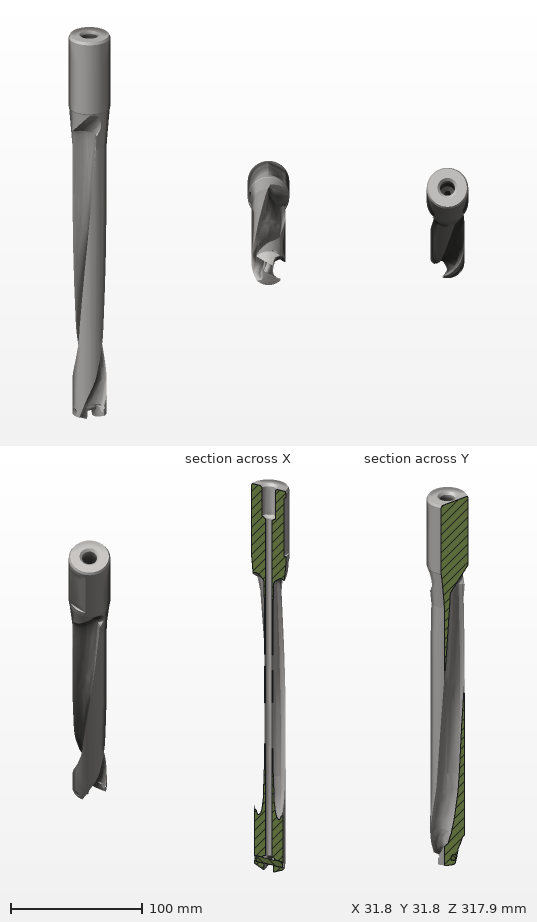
import cadquery as cq
import math


TOTAL_LENGTH = 317.87
SHANK_START = 258.5
TAPER_START = 227.4

SHANK_RADIUS = 31.75 / 2
SHANK_CHAMFER_WIDTH = 1.1
SHANK_CHAMFER_HEIGHT = 2.0
SHANK_EDGE_HEIGHT = 0.7
TAPER_TOP_RADIUS = 15.6
FLAT_DEPTH = 1.8
FLAT_START = 264.0
FLAT_END = 312.0

BODY_RADIUS = 13.15
POINT_ANGLE = 132.0
SLOT_WIDTH = 8.2
SLOT_TOP = 12.0
RELIEF_RADIUS = 1.2
POINT_SLOPE = 1 / math.tan(math.radians(POINT_ANGLE / 2))
POINT_APEX = -POINT_SLOPE * SLOT_WIDTH / 2

BORE_RADIUS = 11.5 / 2
BORE_DEPTH = 25.0
BORE_MOUTH_RADIUS = 15.2 / 2
DRILL_POINT_ANGLE = 118.0
COOLANT_RADIUS = 2.5

FLUTE_COUNT = 2
FLUTE_START = (-2.0, 92.0, 173.0)
FLUTE_STAGES = [
    [(12.0, 118.0, 200.0), (30.0, 151.0, 234.0)],
    [(39.0, 165.0, 249.0)],
    [(50.0, 175.5, 266.0), (62.0, 186.5, 278.5), (79.0, 195.0, 286.0)],
    [(132.0, 211.0, 307.0), (185.0, 227.0, 328.0), (239.0, 244.0, 346.0)],
]
FLUTE_END = FLUTE_STAGES[-1][-1]
FLUTE_OVERCUT = 4.0

TRAILING_LIP = (6.3, -7.4)
TRAILING_HOLLOW = (4.6, -4.2)
FLUTE_FLOOR = (4.0, -0.8)
LEADING_HOLLOW = (4.1, 4.5)
LEADING_WALL = (5.4, 7.9)
LEADING_LIP = (7.6, 9.3)

RUNOUT_LENGTH = 24.0
RUNOUT_SIDEWAYS = 0.95
RUNOUT_OUTWARD = 0.3

SCREW_RADIUS = 4.7 / 2
SCREW_HEIGHT = 8.2
SCREW_TILT = -6.0
SCREW_RECESS = 0.6
SOCKET_SIZE = 2.5
SOCKET_DEPTH = 2.0

EXTRA = 1.0


def holder_blank():
    """Revolved shank, taper, body and point; the slot walls make the point start at Z = 0."""
    corner = POINT_APEX + POINT_SLOPE * BODY_RADIUS
    outline = [
        (0, POINT_APEX),
        (-BODY_RADIUS, corner),
        (-BODY_RADIUS, TAPER_START),
        (-TAPER_TOP_RADIUS, SHANK_START - SHANK_EDGE_HEIGHT),
        (-SHANK_RADIUS, SHANK_START),
        (-SHANK_RADIUS, TOTAL_LENGTH - SHANK_CHAMFER_HEIGHT),
        (-SHANK_RADIUS + SHANK_CHAMFER_WIDTH, TOTAL_LENGTH),
        (0, TOTAL_LENGTH),
    ]
    return cq.Workplane("XZ").polyline(outline).close().revolve(360, (0, 0, 0), (0, 1, 0))


def shank_flat():
    depth = FLAT_DEPTH + EXTRA
    return (
        cq.Workplane("XY")
        .box(2 * SHANK_RADIUS, depth, FLAT_END - FLAT_START, centered=(True, False, False))
        .translate((0, SHANK_RADIUS - FLAT_DEPTH, FLAT_START))
    )


def bore():
    """Countersunk bore with a drill point that runs into the coolant hole, which ends in the slot."""
    bore_end = TOTAL_LENGTH - BORE_DEPTH
    point_height = (BORE_RADIUS - COOLANT_RADIUS) / math.tan(math.radians(DRILL_POINT_ANGLE / 2))
    mouth_depth = BORE_MOUTH_RADIUS - BORE_RADIUS
    outline = [
        (0, SLOT_TOP - EXTRA),
        (COOLANT_RADIUS, SLOT_TOP - EXTRA),
        (COOLANT_RADIUS, bore_end - point_height),
        (BORE_RADIUS, bore_end),
        (BORE_RADIUS, TOTAL_LENGTH - mouth_depth),
        (BORE_MOUTH_RADIUS, TOTAL_LENGTH),
        (0, TOTAL_LENGTH),
    ]
    return cq.Workplane("YZ").polyline(outline).close().revolve(360, (0, 0, 0), (0, 1, 0))


def flute_outline(height, trailing, leading):
    """Flute section opening outward: two hollows that meet at the floor, and a lip at each edge."""
    half_angle = math.radians(leading - trailing) / 2
    edge_x = BODY_RADIUS * math.cos(half_angle)
    edge_y = BODY_RADIUS * math.sin(half_angle)
    outer_x = SHANK_RADIUS + FLUTE_OVERCUT
    return (
        cq.Workplane("XY")
        .transformed(offset=(0, 0, height), rotate=(0, 0, (trailing + leading) / 2))
        .moveTo(outer_x, -edge_y)
        .lineTo(edge_x, -edge_y)
        .lineTo(*TRAILING_LIP)
        .threePointArc(TRAILING_HOLLOW, FLUTE_FLOOR)
        .threePointArc(LEADING_HOLLOW, LEADING_WALL)
        .lineTo(*LEADING_LIP)
        .lineTo(edge_x, edge_y)
        .lineTo(outer_x, edge_y)
        .close()
        .wire()
        .val()
    )


def flute_runout():
    """The top flute section carried upward along a slant until it leaves the holder."""
    height, trailing, leading = FLUTE_END
    turn = math.radians(trailing + leading) / 2
    outward = cq.Vector(math.cos(turn), math.sin(turn), 0)
    sideways = cq.Vector(-math.sin(turn), math.cos(turn), 0)
    slant = outward * RUNOUT_OUTWARD + sideways * RUNOUT_SIDEWAYS + cq.Vector(0, 0, 1)
    return cq.Solid.extrudeLinear(flute_outline(height, trailing, leading), [], slant * RUNOUT_LENGTH)


def cut_flutes(body):
    pieces = [flute_runout()]
    bottom = FLUTE_START
    for stage in FLUTE_STAGES:
        outlines = [flute_outline(*section) for section in [bottom] + stage]
        pieces.append(cq.Solid.makeLoft(outlines))
        bottom = stage[-1]
    for index in range(FLUTE_COUNT):
        turn = index * 360 / FLUTE_COUNT
        for piece in pieces:
            body = body.cut(cq.Workplane(piece).rotate((0, 0, 0), (0, 0, 1), turn))
    return body


def insert_slot():
    """Slot across the tip along X, with a round relief along each inner corner."""
    length = 2 * SHANK_RADIUS
    bottom = POINT_APEX - EXTRA
    slot = (
        cq.Workplane("XY")
        .box(length, SLOT_WIDTH, SLOT_TOP - bottom, centered=(True, True, False))
        .translate((0, 0, bottom))
    )
    reliefs = (
        cq.Workplane("YZ", origin=(-length / 2, 0, SLOT_TOP - RELIEF_RADIUS))
        .pushPoints([(-SLOT_WIDTH / 2, 0), (SLOT_WIDTH / 2, 0)])
        .circle(RELIEF_RADIUS)
        .extrude(length)
    )
    return slot.union(reliefs)


def screw_hole():
    return (
        cq.Workplane("XZ", origin=(0, BODY_RADIUS + EXTRA, SCREW_HEIGHT))
        .circle(SCREW_RADIUS)
        .extrude(2 * (BODY_RADIUS + EXTRA))
        .rotate((0, 0, 0), (0, 0, 1), SCREW_TILT)
    )


def make_holder():
    body = holder_blank().cut(shank_flat()).cut(bore())
    body = cut_flutes(body)
    return body.cut(insert_slot()).cut(screw_hole())


def make_screw():
    """Headless screw across the slot, slightly turned from Y, with a hexagon socket at its -Y end."""
    half_length = BODY_RADIUS - SCREW_RECESS
    return (
        cq.Workplane("XZ", origin=(0, half_length, SCREW_HEIGHT))
        .circle(SCREW_RADIUS)
        .extrude(2 * half_length)
        .faces("<Y")
        .workplane()
        .polygon(6, SOCKET_SIZE)
        .cutBlind(-SOCKET_DEPTH)
        .rotate((0, 0, 0), (0, 0, 1), SCREW_TILT)
    )


holder = make_holder()
screw = make_screw()
result = cq.Compound.makeCompound([holder.val(), screw.val()])